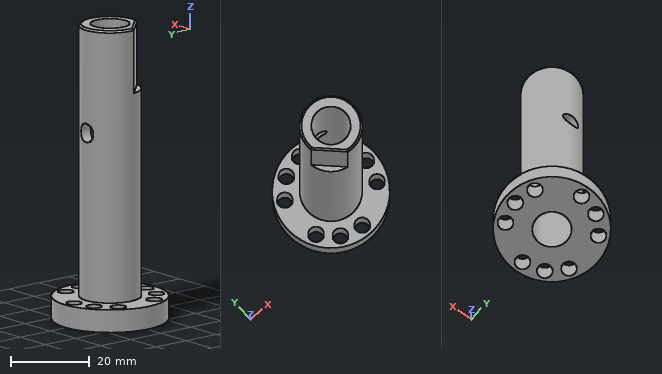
import cadquery as cq
import math

total_height = 77.5
flange_diameter = 30.0
flange_thickness = 6.0
tube_diameter = 16.0
bore_diameter = 10.0
tip_chamfer = 0.5

flat_distance = 6.5
flat_length = 17.0
flat_direction = 225.0

bolt_circle_radius = 12.0
bolt_hole_diameter = 4.0
bolt_hole_angles = [0, 30, 90, 120, 150, 210, 240, 270, 330]

port_diameter = 4.9
port_height = 50.0

tube_radius = tube_diameter / 2


def make_flange():
    """Round flange resting on Z = 0."""
    return cq.Workplane("XY").circle(flange_diameter / 2).extrude(flange_thickness)


def make_tube():
    """Solid shaft with a flat near its tip and a chamfer around the whole tip outline."""
    shaft = cq.Workplane("XY").circle(tube_radius).extrude(total_height)
    flat_cutter = (
        cq.Workplane("XY")
        .workplane(offset=total_height - flat_length)
        .center(flat_distance + tube_radius / 2, 0)
        .rect(tube_radius, tube_diameter)
        .extrude(flat_length)
        .rotate((0, 0, 0), (0, 0, 1), flat_direction)
    )
    return shaft.cut(flat_cutter).faces(">Z").edges().chamfer(tip_chamfer)


def make_bolt_holes():
    """Cutters for the holes around the flange."""
    centres = [
        (
            bolt_circle_radius * math.cos(math.radians(angle)),
            bolt_circle_radius * math.sin(math.radians(angle)),
        )
        for angle in bolt_hole_angles
    ]
    return (
        cq.Workplane("XY")
        .pushPoints(centres)
        .circle(bolt_hole_diameter / 2)
        .extrude(flange_thickness)
    )


def make_port():
    """Cutter running from the tube axis out through the +Y wall."""
    return (
        cq.Workplane("XZ", origin=(0, 0, port_height))
        .circle(port_diameter / 2)
        .extrude(-tube_diameter)
    )


bore = cq.Workplane("XY").circle(bore_diameter / 2).extrude(total_height)

result = (
    make_flange()
    .union(make_tube())
    .cut(bore)
    .cut(make_bolt_holes())
    .cut(make_port())
)